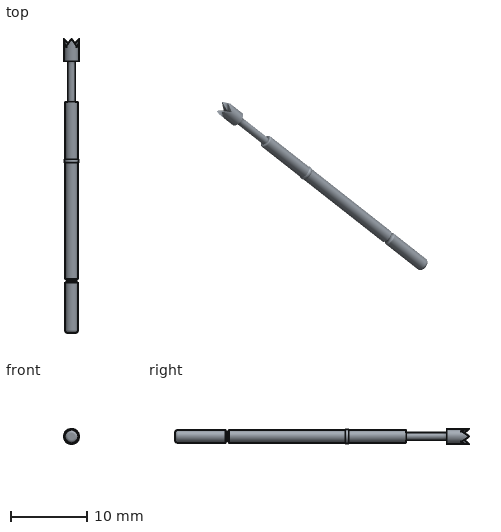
import cadquery as cq
import math

total_length = 38.7
tip_y = total_length / 2
tail_y = -total_length / 2

head_radius = 1.0
head_length = 2.98
tooth_depth = 1.1
tooth_count = 4

plunger_radius = 0.522
barrel_start_y = tip_y - 8.3

barrel_radius = 0.87
mouth_fillet = 0.15
tail_fillet = 0.43

ring_radius = 0.95
ring_width = 0.5
ring_y = tip_y - 16.05

groove_y = tip_y - 31.8
groove_width = 0.58
groove_floor_width = 0.2
groove_floor_radius = 0.65


def cylinder(radius, start_y, end_y):
    """Cylinder on the Y axis from start_y up to end_y."""
    return cq.Workplane("XZ", origin=(0, end_y, 0)).circle(radius).extrude(end_y - start_y)


def crown_head():
    """Cylinder whose crossed V grooves leave sharp teeth on the X and Z axes."""
    head = cylinder(head_radius, tip_y - head_length, tip_y)
    half_pitch = 180 / tooth_count
    valley_y = tip_y - tooth_depth
    tip_offset = head_radius * math.sin(math.radians(half_pitch))
    v_groove = (
        cq.Workplane("XY")
        .moveTo(0, valley_y)
        .lineTo(2 * tip_offset, valley_y + 2 * tooth_depth)
        .lineTo(-2 * tip_offset, valley_y + 2 * tooth_depth)
        .close()
        .extrude(2 * head_radius, both=True)
    )
    for index in range(tooth_count // 2):
        angle = half_pitch + index * 2 * half_pitch
        head = head.cut(v_groove.rotate((0, 0, 0), (0, 1, 0), angle))
    return head


def barrel():
    """Tube body with rounded ends, a press ring and a crimp groove."""
    body = cylinder(barrel_radius, tail_y, barrel_start_y)
    body = body.faces(">Y").edges().fillet(mouth_fillet)
    body = body.faces("<Y").edges().fillet(tail_fillet)
    return body.union(press_ring()).cut(crimp_groove())


def press_ring():
    """Revolved ring whose outer face bulges in one arc from the barrel surface."""
    lower_y = ring_y - ring_width / 2
    upper_y = ring_y + ring_width / 2
    return (
        cq.Workplane("XY")
        .moveTo(0, lower_y)
        .lineTo(barrel_radius, lower_y)
        .threePointArc((ring_radius, ring_y), (barrel_radius, upper_y))
        .lineTo(0, upper_y)
        .close()
        .revolve(360, (0, 0, 0), (0, 1, 0))
    )


def crimp_groove():
    """Revolved cutter with sloping flanks and a narrow flat floor."""
    half_width = groove_width / 2
    half_floor = groove_floor_width / 2
    return (
        cq.Workplane("XY")
        .moveTo(groove_floor_radius, groove_y - half_floor)
        .lineTo(barrel_radius, groove_y - half_width)
        .lineTo(head_radius, groove_y - half_width)
        .lineTo(head_radius, groove_y + half_width)
        .lineTo(barrel_radius, groove_y + half_width)
        .lineTo(groove_floor_radius, groove_y + half_floor)
        .close()
        .revolve(360, (0, 0, 0), (0, 1, 0))
    )


plunger = cylinder(plunger_radius, barrel_start_y - mouth_fillet, tip_y - head_length)
result = barrel().union(plunger).union(crown_head())